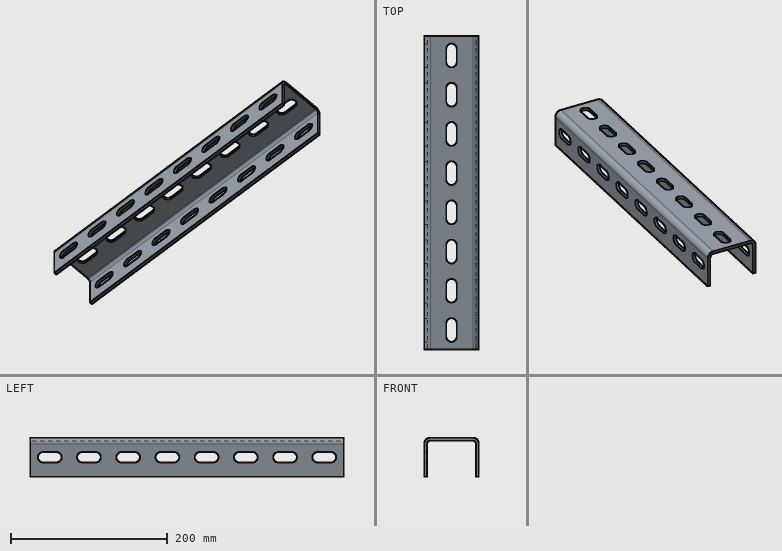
import cadquery as cq

width = 70.0
height = 50.0
length = 400.0
thickness = 4.0
outer_radius = 8.0
inner_radius = outer_radius - thickness

slot_count = 8
slot_pitch = length / slot_count
slot_length = 30.0
slot_width = 13.0
side_slot_height = 25.0


def rounded_bar(bar_width, bar_height, radius):
    """Full-length bar standing on Z = 0 with its two long top edges rounded."""
    bar = cq.Workplane("XY").box(bar_width, length, bar_height, centered=(True, True, False))
    return bar.edges("|Y and >Z").fillet(radius)


def channel():
    """U-shaped channel of constant thickness, bends included."""
    outside = rounded_bar(width, height, outer_radius)
    inside = rounded_bar(width - 2 * thickness, height - thickness, inner_radius)
    return outside.cut(inside)


def web_slots():
    """Row of slot cutters running vertically through the web."""
    return (
        cq.Workplane("XY")
        .rarray(1, slot_pitch, 1, slot_count)
        .slot2D(slot_length, slot_width, 90)
        .extrude(height)
    )


def flange_slots():
    """Row of slot cutters running crosswise through both flanges."""
    return (
        cq.Workplane("YZ", origin=(0, 0, side_slot_height))
        .rarray(slot_pitch, 1, slot_count, 1)
        .slot2D(slot_length, slot_width)
        .extrude(width / 2, both=True)
    )


result = channel().cut(web_slots()).cut(flange_slots())